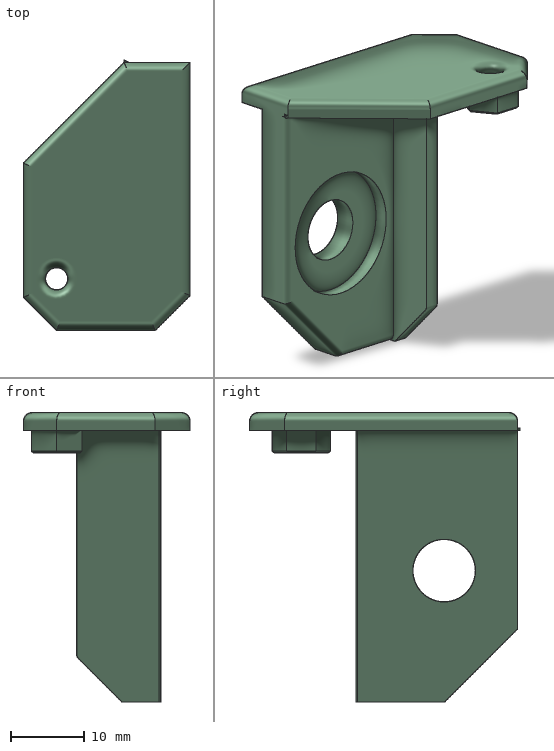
import cadquery as cq
import math

height = 39.5
plate_width = 22.75
plate_length = 36.58
plate_thickness = 2.5
plate_rounding = 1.25
back_chamfer = 13.75
front_left_chamfer = 4.55
front_right_chamfer = 4.78
plate_bottom = height - plate_thickness

boss_x = 4.55
boss_y = 7.07
boss_flats = 6.9
boss_depth = 3.05
boss_edge_chamfer = 0.28
screw_diameter = 3.0
screw_mouth_rounding = 1.3

web_left = back_chamfer
web_right = 18.75
web_front = 14.5
web_corner_chamfer = 10.0
web_rounding = 1.0
web_outer_bevel = 0.25
bore_y = 26.55
bore_z = 17.95
bore_diameter = 8.5
recess_diameter = 17.25
recess_depth = 2.0

flange_left = 7.25
flange_thickness = 2.05
flange_chamfer = 6.2
flange_corner_radius = 0.8

spur_reach = 0.3
spur_width = 0.65
spur_height = 0.4


def make_plate():
    outline = [
        (front_left_chamfer, 0),
        (plate_width - front_right_chamfer, 0),
        (plate_width, front_right_chamfer),
        (plate_width, plate_length),
        (back_chamfer, plate_length),
        (0, plate_length - back_chamfer),
        (0, front_left_chamfer),
    ]
    plate = cq.Workplane("XY").workplane(offset=plate_bottom).polyline(outline).close().extrude(plate_thickness)
    return plate.faces(">Z").edges().fillet(plate_rounding)


def make_boss():
    corner_diameter = boss_flats / math.cos(math.pi / 6)
    boss = cq.Workplane("XY").polygon(6, corner_diameter).extrude(boss_depth)
    boss = boss.rotate((0, 0, 0), (0, 0, 1), 90)
    boss = boss.faces("<Z").edges().chamfer(boss_edge_chamfer)
    return boss.translate((boss_x, boss_y, plate_bottom - boss_depth))


def make_web():
    outline = [
        (web_front, 0),
        (plate_length - web_corner_chamfer, 0),
        (plate_length, web_corner_chamfer),
        (plate_length, plate_bottom),
        (web_front, plate_bottom),
    ]
    web = cq.Workplane("YZ").workplane(offset=web_left).polyline(outline).close().extrude(web_right - web_left)
    rounded_path = cq.selectors.BoxSelector(
        (web_left - 0.4, web_front + 0.4, -0.4),
        (web_left + 0.4, plate_length + 0.4, plate_bottom - 0.4),
    )
    web = web.edges(rounded_path).fillet(web_rounding)
    return web.edges("|Z and >X and <Y").chamfer(web_outer_bevel)


def make_flange():
    outline = [
        (flange_left, plate_bottom),
        (flange_left, flange_chamfer),
        (flange_left + flange_chamfer, 0),
        (web_right - web_rounding, 0),
        (web_right - web_rounding, plate_bottom),
    ]
    flange = cq.Workplane("XZ", origin=(0, web_front, 0)).polyline(outline).close().extrude(-flange_thickness)
    lower_corner = cq.selectors.NearestToPointSelector(
        (flange_left, web_front + flange_thickness / 2, flange_chamfer)
    )
    return flange.edges(lower_corner).fillet(flange_corner_radius)


def make_spur():
    outline = [
        (web_left, plate_length - spur_reach),
        (web_left, plate_length + spur_reach),
        (web_left + spur_width, plate_length),
        (web_left + spur_width, plate_length - spur_reach),
    ]
    return cq.Workplane("XY").workplane(offset=plate_bottom).polyline(outline).close().extrude(spur_height)


def make_screw_hole():
    radius = screw_diameter / 2
    mouth_radius = radius + screw_mouth_rounding
    arc_offset = screw_mouth_rounding * (1 - math.sqrt(0.5))
    profile = (
        cq.Workplane("XZ")
        .moveTo(0, plate_bottom - boss_depth)
        .lineTo(radius, plate_bottom - boss_depth)
        .lineTo(radius, height - screw_mouth_rounding)
        .threePointArc((radius + arc_offset, height - arc_offset), (mouth_radius, height))
        .lineTo(0, height)
        .close()
    )
    return profile.revolve(360, (0, 0, 0), (0, 1, 0)).translate((boss_x, boss_y, 0))


def make_bore():
    web_face = cq.Workplane("YZ", origin=(web_left, bore_y, bore_z))
    bore = web_face.circle(bore_diameter / 2).extrude(web_right - web_left)
    recess = web_face.circle(recess_diameter / 2).extrude(recess_depth)
    return bore.union(recess)


bracket = make_plate().union(make_boss()).union(make_web()).union(make_flange()).union(make_spur())
result = bracket.cut(make_screw_hole()).cut(make_bore())